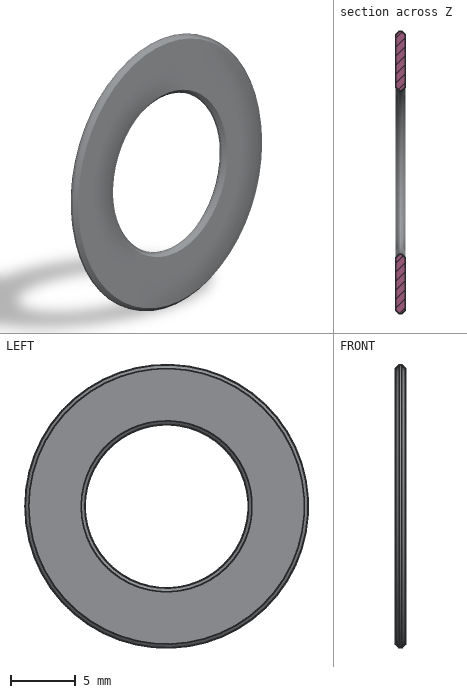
import cadquery as cq

outer_diameter = 21.88
bore_diameter = 12.6
thickness = 0.78
chamfer = 0.30


def flat_ring():
    """Plain washer with its axis along X, centred on the origin."""
    return (
        cq.Workplane("YZ")
        .workplane(offset=-thickness / 2)
        .circle(outer_diameter / 2)
        .circle(bore_diameter / 2)
        .extrude(thickness)
    )


def bevel_rims(ring):
    """Chamfer the outer and bore edges on both flat faces."""
    return ring.faces("<X or >X").edges().chamfer(chamfer)


result = bevel_rims(flat_ring())